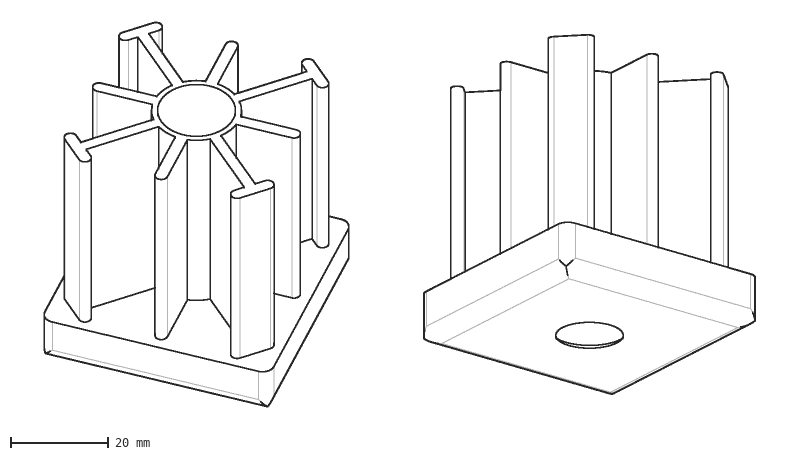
import cadquery as cq
import math

cap_width = 50.0
cap_height = 11
corner_radius = 2.5
bottom_round = 3.3

total_height = 55
insert_height = total_height - cap_height
hub_diameter = 18.5
bore_diameter = 16.0
outlet_diameter = 13.85
outlet_cone_height = (bore_diameter - outlet_diameter) / 2

straight_rib_thickness = 2.65
straight_rib_reach = 22.6
diagonal_rib_thickness = 2.5
flange_thickness = 2.65
flange_length = 9.55
flange_center_radius = 26.95


def rounded_bar(plane):
    """Square bar along the plane normal, with its two lower long edges rounded."""
    half_width = cap_width / 2
    arc_offset = bottom_round * math.sqrt(0.5)
    arc_center_x = half_width - bottom_round
    return (
        cq.Workplane(plane)
        .moveTo(-arc_center_x, 0)
        .lineTo(arc_center_x, 0)
        .threePointArc(
            (arc_center_x + arc_offset, bottom_round - arc_offset),
            (half_width, bottom_round),
        )
        .lineTo(half_width, cap_height)
        .lineTo(-half_width, cap_height)
        .lineTo(-half_width, bottom_round)
        .threePointArc(
            (-arc_center_x - arc_offset, bottom_round - arc_offset),
            (-arc_center_x, 0),
        )
        .close()
        .extrude(half_width, both=True)
    )


def make_cap():
    """Cap with rounded vertical corners and mitred bottom rounds."""
    block = cq.Workplane("XY").rect(cap_width, cap_width).extrude(cap_height)
    block = block.edges("|Z").fillet(corner_radius)
    return block.intersect(rounded_bar("XZ")).intersect(rounded_bar("YZ"))


def insert_base():
    return cq.Workplane("XY").workplane(offset=cap_height)


def straight_rib(angle):
    """Round-ended rib running out from the axis."""
    rib = (
        insert_base()
        .center(straight_rib_reach / 2, 0)
        .slot2D(straight_rib_reach, straight_rib_thickness)
        .extrude(insert_height)
    )
    return rib.rotate((0, 0, 0), (0, 0, 1), angle)


def flanged_rib(angle):
    """Rib ending in a round-ended cross flange."""
    web = (
        insert_base()
        .center(flange_center_radius / 2, 0)
        .rect(flange_center_radius, diagonal_rib_thickness)
        .extrude(insert_height)
    )
    flange = (
        insert_base()
        .center(flange_center_radius, 0)
        .slot2D(flange_length, flange_thickness, 90)
        .extrude(insert_height)
    )
    return web.union(flange).rotate((0, 0, 0), (0, 0, 1), angle)


def make_bore():
    """Through bore, closed in by a 45 degree cone at the bottom of the cap."""
    return (
        cq.Workplane("XZ")
        .lineTo(outlet_diameter / 2, 0)
        .lineTo(bore_diameter / 2, outlet_cone_height)
        .lineTo(bore_diameter / 2, total_height)
        .lineTo(0, total_height)
        .close()
        .revolve(360, (0, 0, 0), (0, 1, 0))
    )


hub = insert_base().circle(hub_diameter / 2).extrude(insert_height)
result = make_cap().union(hub)
for quarter_turn in range(0, 360, 90):
    result = result.union(straight_rib(quarter_turn))
    result = result.union(flanged_rib(quarter_turn + 45))
result = result.cut(make_bore())